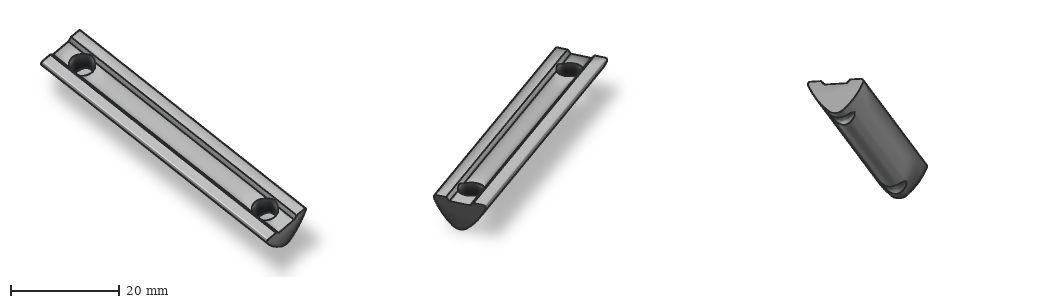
import cadquery as cq
import math

length = 58
width = 10.5
height = 6.3

groove_floor_width = 4.1
groove_depth = 0.7
groove_top_width = groove_floor_width + 2 * groove_depth
edge_radius = 0.5
flank_radius = 13.9
keel_radius = 2.2

hole_diameter = 4.95
hole_spacing = 47


def point_on_circle(center, radius, angle):
    """Point at the given angle, measured from +Y towards +Z."""
    return (center[0] + radius * math.cos(angle), center[1] + radius * math.sin(angle))


def tangent_flank_center(edge_center, keel_center):
    """Center of the flank arc that is tangent to the edge and keel circles enclosed by it."""
    to_edge = flank_radius - edge_radius
    to_keel = flank_radius - keel_radius
    dy = keel_center[0] - edge_center[0]
    dz = keel_center[1] - edge_center[1]
    distance = math.hypot(dy, dz)
    along = (to_edge**2 - to_keel**2 + distance**2) / (2 * distance)
    across = math.sqrt(to_edge**2 - along**2)
    return (
        edge_center[0] + (along * dy + across * dz) / distance,
        edge_center[1] + (along * dz - across * dy) / distance,
    )


def direction(start, end):
    return math.atan2(end[1] - start[1], end[0] - start[0])


def mirrored(point):
    return (-point[0], point[1])


def make_bar():
    edge_center = (width / 2 - edge_radius, -edge_radius)
    keel_center = (0, keel_radius - height)
    flank_center = tangent_flank_center(edge_center, keel_center)

    edge_angle = direction(flank_center, edge_center)
    keel_angle = direction(flank_center, keel_center)
    edge_start = (edge_center[0], 0)
    edge_middle = point_on_circle(edge_center, edge_radius, 0)
    edge_end = point_on_circle(edge_center, edge_radius, edge_angle)
    flank_middle = point_on_circle(flank_center, flank_radius, (edge_angle + keel_angle) / 2)
    flank_end = point_on_circle(keel_center, keel_radius, keel_angle)

    profile = (
        cq.Workplane("YZ", origin=(-length / 2, 0, 0))
        .moveTo(-groove_floor_width / 2, -groove_depth)
        .lineTo(groove_floor_width / 2, -groove_depth)
        .lineTo(groove_top_width / 2, 0)
        .lineTo(*edge_start)
        .threePointArc(edge_middle, edge_end)
        .threePointArc(flank_middle, flank_end)
        .threePointArc((0, -height), mirrored(flank_end))
        .threePointArc(mirrored(flank_middle), mirrored(edge_end))
        .threePointArc(mirrored(edge_middle), mirrored(edge_start))
        .lineTo(-groove_top_width / 2, 0)
        .close()
    )
    return profile.extrude(length)


def make_holes():
    return (
        cq.Workplane("XY", origin=(0, 0, -height))
        .pushPoints([(-hole_spacing / 2, 0), (hole_spacing / 2, 0)])
        .circle(hole_diameter / 2)
        .extrude(height)
    )


result = make_bar().cut(make_holes())